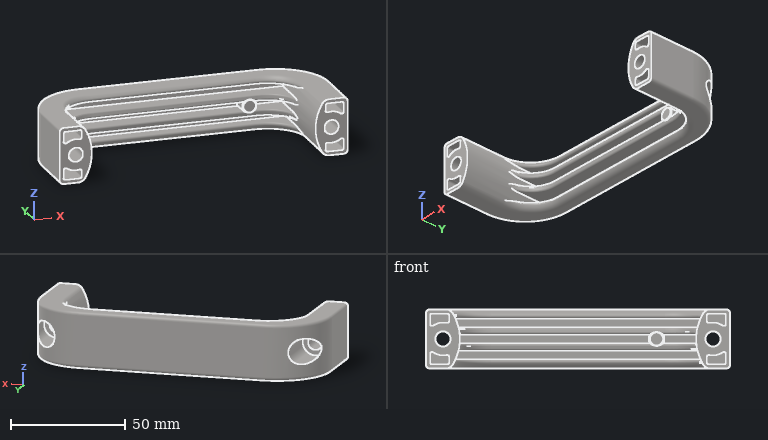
import cadquery as cq
import math

length = 133.0
depth = 50.0
height = 26.0

outer_radius = depth / 2
outer_edge_round = 1.9
leg_thickness = 14.9
bar_thickness = 11.5

bulge_radius = 22.0
bulge_edge_round = 4.0

center_groove_half = 1.9
side_groove_low = 5.0
side_groove_high = 8.8
groove_floor_depth = 4.0
ridge_round = 1.0
rim_round = 1.2

hole_spacing = 118.0
hole_diameter = 6.5
counterbore_diameter = 11.5
counterbore_depth = depth / 2

hollow_margin = 1.9
hollow_width = 8.4
hollow_boss_radius = 7.2
hollow_corner_round = 0.9
hollow_depth = depth / 2

pad_x = 34.3
pad_base_diameter = 6.9
pad_top_diameter = 6.5
pad_bevel = 0.4

half_length = length / 2
half_depth = depth / 2
half_height = height / 2

bend_axis_x = half_length - outer_radius - (leg_thickness - bar_thickness)
crown_rho = outer_radius - bar_thickness
bulge_center_rho = crown_rho + bulge_radius


def bulge_point(angle):
    """Point (rho, z) on the bulge arc, angle measured up from its crown."""
    return (
        bulge_center_rho - bulge_radius * math.cos(angle),
        bulge_radius * math.sin(angle),
    )


def rounded_edge(wall_z, round_radius, side):
    """Round between a level wall and the bulge; side is +1 if the material lies above the wall.

    Returns the wall point, the middle of the arc and the angle where it meets the bulge.
    """
    reach = bulge_radius - round_radius
    center_z = wall_z + side * round_radius
    bulge_angle = math.asin(center_z / reach)
    center_rho = bulge_center_rho - reach * math.cos(bulge_angle)
    middle_angle = (bulge_angle - side * math.pi / 2) / 2
    middle = (
        center_rho - round_radius * math.cos(middle_angle),
        center_z + round_radius * math.sin(middle_angle),
    )
    return (center_rho, wall_z), middle, bulge_angle


def opening_section(plane, origin, direction, ridged):
    """Upper half section of the hand opening, from the bend axis to the inner face.

    The first plane axis holds origin + direction * rho, the second holds the height.
    A ridged section rounds the inner face at the mouths of the grooves.
    """

    def place(point):
        return origin + direction * point[0], point[1]

    def along_bulge(outline, start_angle, end_angle):
        middle = bulge_point((start_angle + end_angle) / 2)
        return outline.threePointArc(place(middle), place(bulge_point(end_angle)))

    edge_wall, edge_middle, edge_angle = rounded_edge(half_height, bulge_edge_round, -1)
    outline = cq.Workplane(plane).moveTo(*place((0, 0)))
    if ridged:
        low_wall, low_middle, low_angle = rounded_edge(center_groove_half, ridge_round, 1)
        high_wall, high_middle, high_angle = rounded_edge(side_groove_low, ridge_round, -1)
        rim_wall, rim_middle, rim_angle = rounded_edge(side_groove_high, rim_round, 1)
        outline = outline.lineTo(*place((low_wall[0], 0)))
        outline = outline.lineTo(*place(low_wall))
        outline = outline.threePointArc(place(low_middle), place(bulge_point(low_angle)))
        outline = along_bulge(outline, low_angle, high_angle)
        outline = outline.threePointArc(place(high_middle), place(high_wall))
        outline = outline.lineTo(*place(rim_wall))
        outline = outline.threePointArc(place(rim_middle), place(bulge_point(rim_angle)))
        outline = along_bulge(outline, rim_angle, edge_angle)
    else:
        outline = outline.lineTo(*place((crown_rho, 0)))
        outline = along_bulge(outline, 0, edge_angle)
    outline = outline.threePointArc(place(edge_middle), place(edge_wall))
    outline = outline.lineTo(*place((edge_wall[0], height)))
    return outline.lineTo(*place((0, height))).close()


def make_body():
    """Solid block with the two large outer bends and its outer edges rounded."""
    body = cq.Workplane("XY").box(length, depth, height)
    body = body.edges("|Z and >Y").fillet(outer_radius)
    return body.edges("(>Z or <Z) and (not <Y)").fillet(outer_edge_round)


def opening_bend_and_bar(ridged):
    """Left bend and left half of the bar, upper half of the opening."""
    bend_axis = ((-bend_axis_x, 0, 0), (-bend_axis_x, -1, 0))
    bend = opening_section("XZ", -bend_axis_x, -1, ridged).revolve(90, *bend_axis)
    bar = opening_section("YZ", 0, 1, ridged).extrude(-bend_axis_x)
    return bend.union(bar)


def opening_along_leg(start_y, end_y):
    """Left half of the opening bounded by the straight inner face of the leg."""
    beside_leg = opening_section("XZ", -bend_axis_x, -1, False).extrude(start_y - end_y)
    middle = cq.Workplane("XY").box(bend_axis_x, end_y - start_y, height, centered=False)
    middle = middle.translate((-bend_axis_x, 0, 0))
    return beside_leg.union(middle).translate((0, start_y, 0))


def make_opening():
    """Hand opening with its three grooves, built as one quarter and mirrored."""
    grooves = opening_bend_and_bar(True)
    groove_top = half_depth - groove_floor_depth
    for low, high in ((0, center_groove_half), (side_groove_low, side_groove_high)):
        band = cq.Workplane("XY").box(half_length, groove_top, high - low, centered=False)
        grooves = grooves.union(band.translate((-half_length, 0, low)))
    grooves = grooves.intersect(opening_along_leg(0, groove_top))
    quarter = opening_along_leg(-half_depth, 0).union(opening_bend_and_bar(False)).union(grooves)
    half = quarter.union(quarter.mirror("XY"))
    return half.union(half.mirror("YZ"))


def make_mounting_hole(hole_x):
    """Through hole along Y with a counterbore from the bar side."""
    from_back = cq.Workplane("XZ", origin=(hole_x, half_depth, 0))
    hole = from_back.circle(hole_diameter / 2).extrude(depth)
    counterbore = from_back.circle(counterbore_diameter / 2).extrude(counterbore_depth)
    return hole.union(counterbore)


def make_hollows():
    """Upper and lower hollow of the left leg, curved around the screw boss."""
    left = -half_length + hollow_margin
    top = half_height - hollow_margin
    hollow = cq.Workplane("XY").box(hollow_width, hollow_depth, top, centered=False)
    hollow = hollow.translate((left, -half_depth, 0))
    boss = cq.Workplane("XZ", origin=(-hole_spacing / 2, half_depth, 0))
    hollow = hollow.cut(boss.circle(hollow_boss_radius).extrude(depth))
    hollow = hollow.edges("|Y").fillet(hollow_corner_round)
    return hollow.union(hollow.mirror("XY"))


def make_pad():
    """Tapered pad with a beveled rim, from the center groove floor up to the ridge crowns."""
    base = cq.Workplane("XZ", origin=(pad_x, half_depth - groove_floor_depth, 0))
    pad = base.circle(pad_base_diameter / 2).workplane(offset=bar_thickness - groove_floor_depth)
    pad = pad.circle(pad_top_diameter / 2).loft()
    return pad.faces("<Y").chamfer(pad_bevel)


result = make_body().cut(make_opening())
for hole_x in (-hole_spacing / 2, hole_spacing / 2):
    result = result.cut(make_mounting_hole(hole_x))
hollows = make_hollows()
result = result.cut(hollows).cut(hollows.mirror("YZ"))
result = result.union(make_pad())